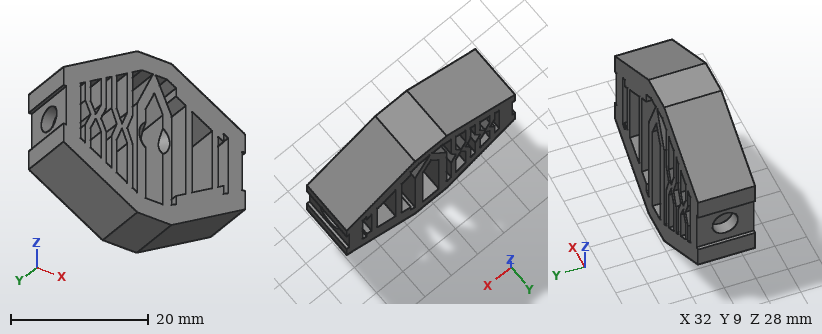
import cadquery as cq
import math

length = 32.0
thickness = 9.0
height = 28.0
side_height = 13.0
slope_angle = math.radians(30)
wall = 3.0

end_notch_depth = 0.5
end_notch_height = 6.65
end_hole_diameter = 4.0
end_hole_depth = 2.0

rib_width = 0.93
pinch_half_width = 2 * rib_width
pinch_gap = 0.4
left_pinch_x = -10.3
left_pinch_knee = 2.08
right_pinch_x = -5.7
right_pinch_knee = 2.43
inner_knee_rise = 0.25

arch_half_width = 3.0
arch_slot_half_width = arch_half_width / 2
arch_shoulder = 5.0
arch_tip = 11.52
arch_slot_shoulder = 4.55
arch_slot_tip = 7.78

countersink_radius = 2.7

rim_start = 3.8
rim_end = 12.2
rim_drop = 1.4
straight_ribs = [(5.55, 6.7), (10.18, 11.23)]

half_length = length / 2
half_height = height / 2


def prism(points):
    """Extrude an XZ outline through the full thickness, centred on Y."""
    return cq.Workplane("XZ").polyline(points).close().extrude(thickness / 2, both=True)


def bar(x_start, x_end):
    """Vertical bar between two X positions, as tall as the body."""
    return prism([
        (x_start, -half_height),
        (x_end, -half_height),
        (x_end, half_height),
        (x_start, half_height),
    ])


def inset_body(inset):
    """Eight-sided body with every side moved inward by the same distance."""
    x = half_length - inset
    z = half_height - inset
    flat_half = half_length - (half_height - side_height / 2) / math.tan(slope_angle)
    top_shift = inset * math.tan(slope_angle / 2)
    side_shift = inset * math.tan((math.pi / 2 - slope_angle) / 2)
    top_x = flat_half - top_shift
    side_z = side_height / 2 - side_shift
    return prism([
        (-x, -side_z), (-top_x, -z), (top_x, -z), (x, -side_z),
        (x, side_z), (top_x, z), (-top_x, z), (-x, side_z),
    ])


def pinched_ribs(center_x, knee):
    """Pair of ribs that bend together and touch at mid-height."""
    left = center_x - pinch_half_width
    right = center_x + pinch_half_width
    ribs = prism([
        (left, -half_height), (right, -half_height),
        (right, -knee), (center_x + rib_width, 0), (right, knee),
        (right, half_height), (left, half_height),
        (left, knee), (center_x - rib_width, 0), (left, -knee),
    ])
    inner_left = left + rib_width
    inner_right = right - rib_width
    inner_knee = knee + inner_knee_rise
    for side in (1, -1):
        gap = prism([
            (center_x, side * pinch_gap),
            (inner_right, side * inner_knee),
            (inner_right, side * half_height),
            (inner_left, side * half_height),
            (inner_left, side * inner_knee),
        ])
        ribs = ribs.cut(gap)
    return ribs


def pointed_column(half_width, shoulder, tip):
    """Column standing on the bottom of the body and ending in a point."""
    return prism([
        (-half_width, -half_height), (half_width, -half_height),
        (half_width, shoulder), (0, tip), (-half_width, shoulder),
    ])


def central_arch():
    """Pointed arch with a slot, countersunk from the front face."""
    column = pointed_column(arch_half_width, arch_shoulder, arch_tip)
    slot = pointed_column(arch_slot_half_width, arch_slot_shoulder, arch_slot_tip)
    countersink = cq.Workplane(cq.Solid.makeCone(
        countersink_radius, 0, countersink_radius,
        cq.Vector(0, -thickness / 2, 0), cq.Vector(0, 1, 0),
    ))
    return column.cut(slot).cut(countersink)


def thick_rim(window):
    """Rim that brings the sloped window edges closer together at the straight ribs."""
    lowered = window.translate((0, 0, -rim_drop))
    raised = window.translate((0, 0, rim_drop))
    return bar(rim_start, rim_end).cut(lowered.intersect(raised))


def end_recess(side):
    """Shallow notch across one end, with a blind hole in its floor."""
    notch = cq.Workplane("XY").box(2 * end_notch_depth, thickness, end_notch_height)
    notch = notch.translate((side * half_length, 0, 0))
    hole = cq.Workplane(cq.Solid.makeCylinder(
        end_hole_diameter / 2, end_hole_depth,
        cq.Vector(side * (half_length - end_notch_depth), 0, 0), cq.Vector(-side, 0, 0),
    ))
    return notch.union(hole)


window = inset_body(wall)

infill = central_arch().union(thick_rim(window))
infill = infill.union(pinched_ribs(left_pinch_x, left_pinch_knee))
infill = infill.union(pinched_ribs(right_pinch_x, right_pinch_knee))
for rib_start, rib_end in straight_ribs:
    infill = infill.union(bar(rib_start, rib_end))

result = inset_body(0).cut(window).union(infill.intersect(window))
for end in (-1, 1):
    result = result.cut(end_recess(end))